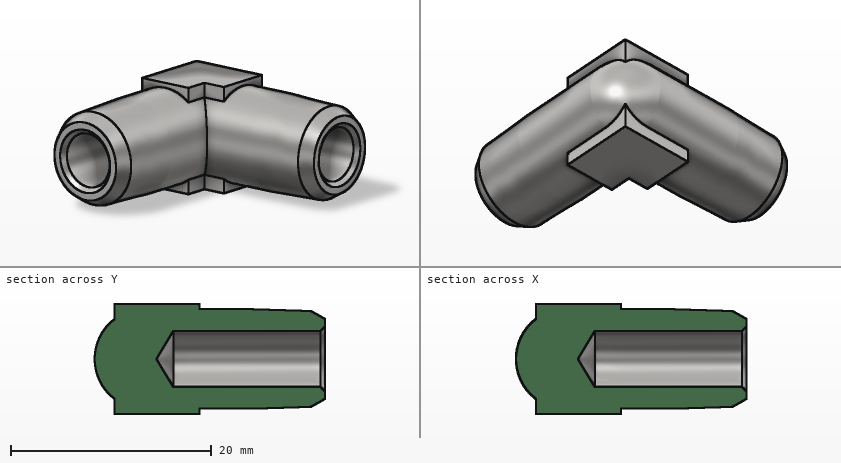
import cadquery as cq
import math

overall_length = 23.0
overall_height = 11.0

body_radius = 5.0
arm_reach = overall_length - body_radius
straight_length = 10.52
tip_chamfer_length = 1.4
tip_radius = 4.0
taper_ratio = 1 / 32
taper_length = arm_reach - straight_length - tip_chamfer_length
taper_end_radius = body_radius - taper_length * taper_ratio

bore_radius = 2.75
mouth_radius = 3.25
mouth_depth = mouth_radius - bore_radius
drill_point_angle = 118.0
bore_wall_offset = 0.12
bore_floor = bore_radius + bore_wall_offset
drill_point_length = bore_radius / math.tan(math.radians(drill_point_angle / 2))

block_half_width = 3.0
block_reach = 5.5


def revolve_along_x(points):
    """Revolve a closed (x, radius) outline about the X axis."""
    return cq.Workplane("XZ").polyline(points).close().revolve(360, (0, 0, 0), (1, 0, 0))


def on_both_arms(shape):
    """Join a shape lying along +X with its copy turned to lie along -Y."""
    return shape.union(shape.rotate((0, 0, 0), (0, 0, 1), -90))


def make_arm():
    return revolve_along_x([
        (0, 0),
        (0, body_radius),
        (straight_length, body_radius),
        (arm_reach - tip_chamfer_length, taper_end_radius),
        (arm_reach, tip_radius),
        (arm_reach, 0),
    ])


def make_bore():
    return revolve_along_x([
        (bore_floor - drill_point_length, 0),
        (bore_floor, bore_radius),
        (arm_reach - mouth_depth, bore_radius),
        (arm_reach, mouth_radius),
        (arm_reach, 0),
    ])


def make_wrench_block():
    w = block_half_width
    outline = [
        (-w, w),
        (block_reach, w),
        (block_reach, -w),
        (w, -w),
        (w, -block_reach),
        (-w, -block_reach),
    ]
    block = cq.Workplane("XY").polyline(outline).close()
    return block.extrude(overall_height / 2, both=True)


elbow_ball = cq.Workplane("XY").sphere(body_radius)
body = on_both_arms(make_arm()).union(elbow_ball).union(make_wrench_block())
result = body.cut(on_both_arms(make_bore()))